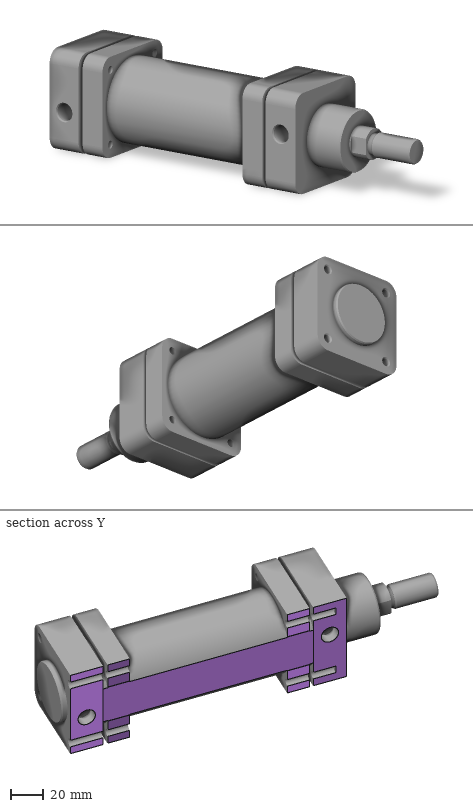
import cadquery as cq
import math

overall_length = 259.0
x_start = -overall_length / 2

chamfer_length = 1.0
chamfer_depth = chamfer_length * math.tan(math.radians(30))

head_side = 65.0
bolt_spacing = 48.0
corner_radius = (head_side - bolt_spacing) / 2
rear_head_length = 22.0
front_head_length = 22.5
flange_length = 15.0
rear_gap = 3.0
front_gap = 2.5

boss_diameter = 40.0
rear_boss_length = 4.0
front_boss_length = 25.0

tube_diameter = 55.5
exposed_tube_length = 106.0

bolt_hole_diameter = 5.0
bolt_countersink = 0.75
front_head_hole_depth = 15.0

port_diameter = 12.5
port_depth = 15.0
port_offset = 6.0

rod_diameter = 20.0
rod_collar_length = 1.0
flats_length = 10.8
flats_width = 17.0
neck_diameter = 14.0
neck_length = 3.0
thread_diameter = 16.0

rear_head_x = x_start + rear_boss_length
tube_start_x = rear_head_x + rear_head_length
rear_flange_x = tube_start_x + rear_gap
front_flange_x = rear_flange_x + flange_length + exposed_tube_length
tube_end_x = front_flange_x + flange_length + front_gap
front_face_x = tube_end_x + front_head_length
boss_end_x = front_face_x + front_boss_length
flats_x = boss_end_x + rod_collar_length
neck_x = flats_x + flats_length
thread_x = neck_x + neck_length


def section(x):
    """Sketch plane across the axis at x, facing +X."""
    return cq.Workplane("YZ", origin=(x, 0, 0))


def cylinder(x, diameter, length):
    return section(x).circle(diameter / 2).extrude(length)


def cone(plane, start_diameter, end_diameter, length):
    """Frustum that grows from the plane along its normal, or against it for a negative length."""
    start = plane.circle(start_diameter / 2)
    return start.workplane(offset=length).circle(end_diameter / 2).loft()


def chamfered_end(x, diameter, direction):
    """Tapered last stretch of a round piece, starting at x and running along direction (1 or -1)."""
    return cone(section(x), diameter, diameter - 2 * chamfer_depth, direction * chamfer_length)


def square_block(x, length):
    block = section(x).rect(head_side, head_side).extrude(length)
    return block.edges("|X").fillet(corner_radius)


def bolt_holes(x, depth):
    corners = section(x).rect(bolt_spacing, bolt_spacing, forConstruction=True).vertices()
    return corners.circle(bolt_hole_diameter / 2).extrude(depth)


def countersinks(x):
    """Widened mouths of the bolt holes in the face at x, tapering toward +X."""
    mouth_diameter = bolt_hole_diameter + 2 * bolt_countersink
    corners = section(x).rect(bolt_spacing, bolt_spacing, forConstruction=True).vertices()
    return corners.circle(mouth_diameter / 2).extrude(bolt_countersink, taper=45)


def port(x, z):
    """Blind port drilled from the -Y face, with a chamfered mouth."""
    mouth = cq.Workplane("XZ", origin=(x, -head_side / 2, z))
    bore_diameter = port_diameter - 2 * chamfer_depth
    bore = mouth.circle(bore_diameter / 2).extrude(-port_depth)
    return bore.union(cone(mouth, port_diameter, bore_diameter, -chamfer_length))


def make_rear_head():
    chamfer_x = x_start + chamfer_length
    boss = cylinder(chamfer_x, boss_diameter, rear_boss_length - chamfer_length)
    head = square_block(rear_head_x, rear_head_length).union(boss)
    head = head.union(chamfered_end(chamfer_x, boss_diameter, -1))
    head = head.cut(bolt_holes(rear_head_x, rear_head_length))
    head = head.cut(countersinks(rear_head_x))
    return head.cut(port(rear_head_x + rear_head_length / 2, -port_offset))


def make_front_head():
    boss = cylinder(front_face_x, boss_diameter, front_boss_length - chamfer_length)
    head = square_block(tube_end_x, front_head_length).union(boss)
    head = head.union(chamfered_end(boss_end_x - chamfer_length, boss_diameter, 1))
    head = head.cut(bolt_holes(tube_end_x, front_head_hole_depth))
    head = head.cut(port(tube_end_x + front_head_length / 2, port_offset))
    return head.cut(cylinder(tube_end_x, rod_diameter, boss_end_x - tube_end_x))


def make_flange(x):
    flange = square_block(x, flange_length)
    flange = flange.cut(bolt_holes(x, flange_length))
    return flange.cut(cylinder(x, tube_diameter, flange_length))


def make_rod():
    """Rod from the tube's end out to a threaded tip, with wrench flats facing -Y and +Y."""
    shank = cylinder(tube_end_x, rod_diameter, flats_x - tube_end_x)
    wrench_flats = cylinder(flats_x, rod_diameter, flats_length).intersect(
        section(flats_x).rect(flats_width, rod_diameter).extrude(flats_length)
    )
    neck = cylinder(neck_x, neck_diameter, neck_length)
    thread_body_x = thread_x + chamfer_length
    thread_body_end_x = x_start + overall_length - chamfer_length
    thread = cylinder(thread_body_x, thread_diameter, thread_body_end_x - thread_body_x)
    thread = thread.union(chamfered_end(thread_body_x, thread_diameter, -1))
    thread = thread.union(chamfered_end(thread_body_end_x, thread_diameter, 1))
    return shank.union(wrench_flats).union(neck).union(thread)


rear_head = make_rear_head()
front_head = make_front_head()
flanges = [make_flange(x) for x in (rear_flange_x, front_flange_x)]
tube = cylinder(tube_start_x, tube_diameter, tube_end_x - tube_start_x)
rod = make_rod()

result = cq.Compound.makeCompound(
    [
        rear_head.val(),
        front_head.val(),
        *[flange.val() for flange in flanges],
        tube.val(),
        rod.val(),
    ]
)